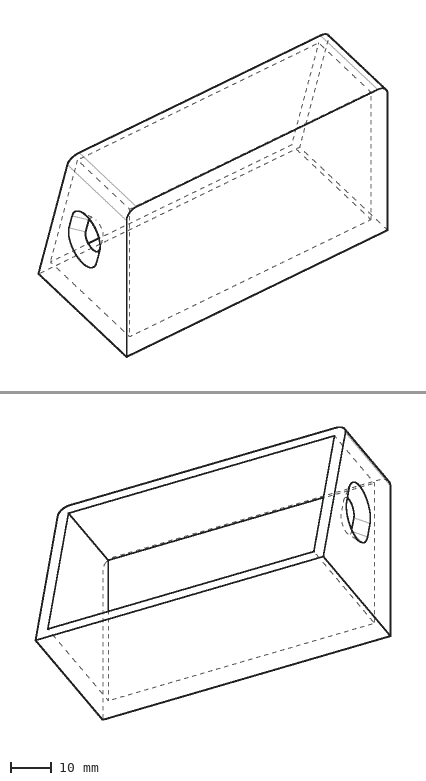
import cadquery as cq
import math

depth = 37.0
width = 78.5
height = 48.3
wall = 3.0
edge_radius = 3.0
lean_angle = 15.0

slot_radius = 3.0
slot_spacing = 5.1
slot_x = 0.8
slot_z = 25.8
slot_mouth_radius = slot_radius + wall

front_x = -depth / 2
back_x = depth / 2
top_front_x = front_x + height * math.tan(math.radians(lean_angle))


def make_body():
    """Wedge-sided block with rounded upper side edges."""
    block = (
        cq.Workplane("XZ")
        .polyline([(front_x, 0), (back_x, 0), (back_x, height), (top_front_x, height)])
        .close()
        .extrude(width / 2, both=True)
    )
    return block.edges("|X and >Z").fillet(edge_radius)


def make_cavity():
    """Rectangular pocket entering through the leaning face, leaving a back wall."""
    return cq.Workplane("XY").box(
        depth - wall, width - 2 * wall, height - 2 * wall, centered=(False, True, False)
    ).translate((front_x, 0, wall))


def make_slot():
    """Slot cutter that narrows from the outer face to the inside of the wall."""
    outer_face = cq.Plane(origin=(slot_x, -width / 2, slot_z), xDir=(1, 0, 0), normal=(0, 1, 0))
    return (
        cq.Workplane(outer_face)
        .slot2D(slot_spacing + 2 * slot_mouth_radius, 2 * slot_mouth_radius, lean_angle - 90)
        .extrude(wall, taper=45)
    )


result = make_body().cut(make_cavity()).cut(make_slot())